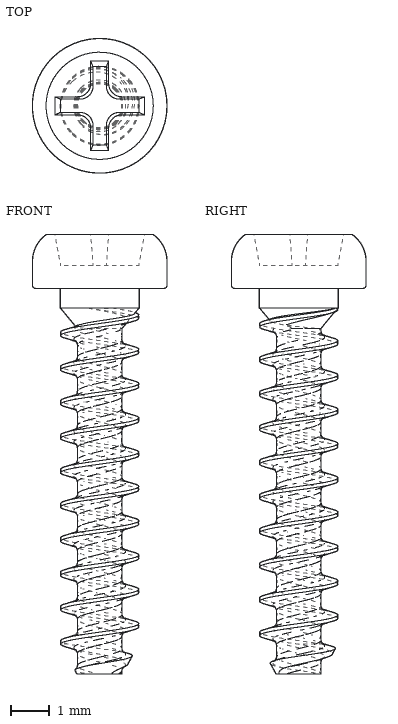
import cadquery as cq
import math

total_length = 11.4
head_diameter = 3.5
head_radius = head_diameter / 2
head_height = 1.4
head_top_radius = 1.39
dome_height = 0.7
head_lower_fillet = 0.09

collar_radius = 1.03
collar_height = 0.5
neck_height = 0.55
neck_radius = 0.57
core_radius = 0.58

pitch = 0.89
thread_turns = 11.5
turns_below_crest = 2
crest_radius = 1.01
crest_width = 0.09
flank_radius = 0.67
flank_root_width = 0.27
root_width = 0.57
first_crest_height = 1.27
spiral_steps = 6

tip_radius = 0.59
tip_cone_height = 0.8
envelope_clearance = 0.11

recess_depth = 0.8
recess_mouth_reach = 1.16
recess_floor_reach = 1.01
recess_mouth_width = 0.47
recess_floor_width = 0.34
recess_corner_radius = 0.34

head_bottom = total_length - head_height
collar_bottom = head_bottom - collar_height
neck_bottom = collar_bottom - neck_height
rod_bottom = first_crest_height - turns_below_crest * pitch


def make_head():
    """Head with a rounded shoulder that is tangent to its cylindrical side."""
    shoulder_inset = head_radius - head_top_radius
    dome_radius = (shoulder_inset**2 + dome_height**2) / (2 * shoulder_inset)
    dome_start = total_length - dome_height
    half_angle = math.asin(dome_height / dome_radius) / 2
    dome_middle = (
        head_radius - dome_radius * (1 - math.cos(half_angle)),
        dome_start + dome_radius * math.sin(half_angle),
    )
    head = (
        cq.Workplane("XZ")
        .moveTo(0, head_bottom)
        .lineTo(head_radius, head_bottom)
        .lineTo(head_radius, dome_start)
        .threePointArc(dome_middle, (head_top_radius, total_length))
        .lineTo(0, total_length)
        .close()
        .revolve(360, (0, 0), (0, 1))
    )
    return head.faces("<Z").edges().fillet(head_lower_fillet)


def make_neck():
    """Conical neck and collar below the head."""
    return (
        cq.Workplane("XZ")
        .polyline([
            (0, neck_bottom),
            (neck_radius, neck_bottom),
            (collar_radius, collar_bottom),
            (collar_radius, head_bottom),
            (0, head_bottom),
        ])
        .close()
        .revolve(360, (0, 0), (0, 1))
    )


def polar(radius, angle):
    """Point at a distance and an angle in radians about the screw axis."""
    return (radius * math.cos(angle), radius * math.sin(angle))


def make_threaded_rod():
    """Core and thread as one section across the axis, twisted one turn per pitch.

    An axial distance from the crest appears in the section as an angle, so a
    straight flank is a spiral and the thread width sets the span of each curve.
    """
    turn = 2 * math.pi
    crest_angle = turn * crest_width / 2 / pitch
    flank_angle = turn * flank_root_width / 2 / pitch
    root_angle = turn * root_width / 2 / pitch

    def falling_flank(t):
        radius = crest_radius + (flank_radius - crest_radius) * t
        return polar(radius, crest_angle + (flank_angle - crest_angle) * t)

    def falling_blend(t):
        radius = core_radius + (flank_radius - core_radius) * (1 - t) ** 2
        return polar(radius, flank_angle + (root_angle - flank_angle) * t)

    def mirrored(curve):
        def rising(t):
            x, y = curve(1 - t)
            return (x, -y)

        return rising

    def spiral(curve):
        return [curve(step / spiral_steps) for step in range(1, spiral_steps + 1)]

    section = (
        cq.Workplane("XY", origin=(0, 0, rod_bottom))
        .moveTo(*polar(crest_radius, -crest_angle))
        .threePointArc((crest_radius, 0), polar(crest_radius, crest_angle))
        .spline(spiral(falling_flank), includeCurrent=True)
        .spline(spiral(falling_blend), includeCurrent=True)
        .threePointArc((-core_radius, 0), polar(core_radius, -root_angle))
        .spline(spiral(mirrored(falling_blend)), includeCurrent=True)
        .spline(spiral(mirrored(falling_flank)), includeCurrent=True)
        .close()
    )
    return section.twistExtrude(thread_turns * pitch, thread_turns * 360)


def make_tip_envelope():
    """Space below the head that trims the thread to a cone and the tip to a flat."""
    envelope_radius = collar_radius + envelope_clearance
    cone_slope = (collar_radius - tip_radius) / tip_cone_height
    return (
        cq.Workplane("XZ")
        .polyline([
            (0, 0),
            (tip_radius, 0),
            (envelope_radius, (envelope_radius - tip_radius) / cone_slope),
            (envelope_radius, total_length),
            (0, total_length),
        ])
        .close()
        .revolve(360, (0, 0), (0, 1))
    )


def recess_outline(reach, width, height):
    """Cross-shaped wire with rounded inner corners."""
    half_width = width / 2
    arc_centre = half_width + recess_corner_radius
    arc_middle = arc_centre - recess_corner_radius * math.sqrt(0.5)
    outline = cq.Workplane("XY", origin=(0, 0, height)).moveTo(reach, -half_width)
    for quarter in range(4):
        angle = math.pi / 2 * quarter
        corner_points = [
            (reach, half_width),
            (arc_centre, half_width),
            (arc_middle, arc_middle),
            (half_width, arc_centre),
            (half_width, reach),
        ]
        turned = [
            (x * math.cos(angle) - y * math.sin(angle), x * math.sin(angle) + y * math.cos(angle))
            for x, y in corner_points
        ]
        outline = (
            outline.lineTo(*turned[0])
            .lineTo(*turned[1])
            .threePointArc(turned[2], turned[3])
            .lineTo(*turned[4])
        )
    return outline.close().val()


def make_recess():
    """Cross recess tapering from its mouth to its flat floor."""
    floor = recess_outline(recess_floor_reach, recess_floor_width, total_length - recess_depth)
    mouth = recess_outline(recess_mouth_reach, recess_mouth_width, total_length)
    return cq.Workplane(cq.Solid.makeLoft([floor, mouth], True))


rod = make_threaded_rod().intersect(make_tip_envelope(), clean=False)
head = make_head().cut(make_recess())
neck_and_head = head.union(make_neck())
result = neck_and_head.union(rod, clean=False)